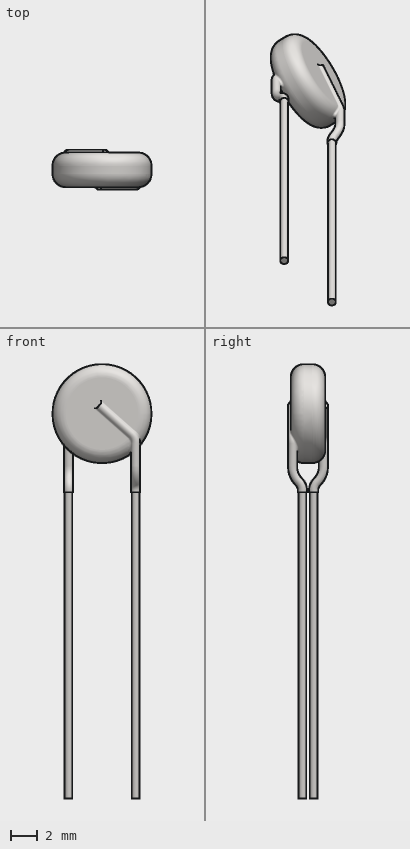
import cadquery as cq
import math

disc_diameter = 7.4
disc_thickness = 2.6
disc_edge_radius = 1.0

overall_depth = 3.0
overall_height = 32.4

lead_pitch = 5.0
coat_diameter = 0.7
wire_diameter = 0.6

crimp_upper_radius = 1.6
crimp_lower_radius = 0.9
crimp_angle = math.radians(45)
crimp_top_z = -3.95
coat_tail_length = 0.15
coat_tail_rounding = (coat_diameter - wire_diameter) / 2
coat_root_fillet = 0.15
elbow_bottom_z = -2.2
elbow_radius = 0.85
elbow_angle = math.radians(48.5)
inner_end_x = -0.23

disc_radius = disc_diameter / 2
disc_face_radius = disc_radius - disc_edge_radius
lead_x = lead_pitch / 2
coat_y = -(overall_depth - coat_diameter) / 2
crimp_radius_sum = crimp_upper_radius + crimp_lower_radius
wire_y = coat_y + crimp_radius_sum * (1 - math.cos(crimp_angle))
crimp_bottom_z = crimp_top_z - crimp_radius_sum * math.sin(crimp_angle)
coat_bottom_z = crimp_bottom_z - coat_tail_length
wire_bottom_z = disc_radius - overall_height


def make_disc():
    """Disc with both rims rounded, revolved about Y so that its seam runs over the top."""
    half_thickness = disc_thickness / 2
    return (
        cq.Workplane("YZ")
        .moveTo(-half_thickness, 0)
        .lineTo(-half_thickness, disc_face_radius)
        .radiusArc((-half_thickness + disc_edge_radius, disc_radius), disc_edge_radius)
        .lineTo(half_thickness - disc_edge_radius, disc_radius)
        .radiusArc((half_thickness, disc_face_radius), disc_edge_radius)
        .lineTo(half_thickness, 0)
        .close()
        .revolve(360, (0, 0, 0), (1, 0, 0))
    )


def arc_point(start, radius, turn, side):
    """End of an arc that leaves start along Z and bends by turn.

    A positive radius climbs and a negative one descends; side (+1 or -1) is the way it bends.
    """
    return (
        start[0] + side * abs(radius) * (1 - math.cos(turn)),
        start[1] + radius * math.sin(turn),
    )


def make_crimp():
    """Coated S-bend, with its tail, that steps the lead from the disc face toward mid-depth."""
    bottom = (wire_y, crimp_bottom_z)
    top = (coat_y, crimp_top_z)
    path = (
        cq.Workplane("YZ", origin=(lead_x, 0, 0))
        .moveTo(wire_y, coat_bottom_z)
        .lineTo(*bottom)
        .threePointArc(
            arc_point(bottom, crimp_lower_radius, crimp_angle / 2, -1),
            arc_point(bottom, crimp_lower_radius, crimp_angle, -1),
        )
        .threePointArc(arc_point(top, -crimp_upper_radius, crimp_angle / 2, 1), top)
    )
    return (
        cq.Workplane("XY", origin=(lead_x, wire_y, coat_bottom_z))
        .circle(coat_diameter / 2)
        .sweep(path)
        .faces("<Z")
        .edges()
        .fillet(coat_tail_rounding)
    )


def make_elbow():
    """Coated stretch up the disc face: straight, elbow, then slanting past the disc centre."""
    elbow_start = (lead_x, elbow_bottom_z)
    elbow_mid = arc_point(elbow_start, elbow_radius, elbow_angle / 2, -1)
    elbow_end = arc_point(elbow_start, elbow_radius, elbow_angle, -1)
    slant_rise = (elbow_end[0] - inner_end_x) / math.tan(elbow_angle)
    inner_end = (inner_end_x, elbow_end[1] + slant_rise)
    path = (
        cq.Workplane("XZ", origin=(0, coat_y, 0))
        .moveTo(lead_x, crimp_top_z)
        .lineTo(*elbow_start)
        .threePointArc(elbow_mid, elbow_end)
        .lineTo(*inner_end)
    )
    return (
        cq.Workplane("XY", origin=(lead_x, coat_y, crimp_top_z))
        .circle(coat_diameter / 2)
        .sweep(path)
    )


def make_wire():
    """Bare straight wire below the coating."""
    return (
        cq.Workplane("XY", origin=(lead_x, wire_y, wire_bottom_z))
        .circle(wire_diameter / 2)
        .extrude(coat_bottom_z - wire_bottom_z)
    )


def make_lead():
    """Complete lead on the -Y face of the disc."""
    return make_elbow().union(make_crimp()).union(make_wire())


def fillet_coat_roots(body):
    """Fillet where the coated leads sink into the disc.

    The lines where lead and disc meet lie wholly inside this box. The coat's end edges
    stand proud of the disc faces, and the disc's own circles reach above the box.
    """
    clearance = 0.01
    half_x = lead_x + coat_diameter / 2 - clearance
    half_y = disc_thickness / 2 + clearance
    half_z = disc_face_radius - clearance
    root_box = cq.selectors.BoxSelector(
        (-half_x, -half_y, -disc_radius),
        (half_x, half_y, half_z),
        boundingbox=True,
    )
    return body.edges(root_box).fillet(coat_root_fillet)


front_lead = make_lead()
back_lead = front_lead.rotate((0, 0, 0), (0, 0, 1), 180)

body = make_disc().union(front_lead).union(back_lead)
result = fillet_coat_roots(body)